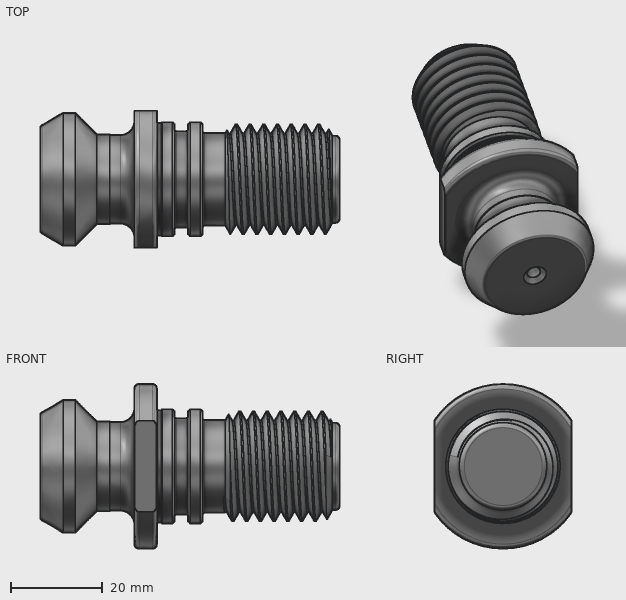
import cadquery as cq
import math


total_length = 65.5

face_radius = 11.2
face_edge_radius = 0.65
head_radius = 14.55
head_cone_angle = 30.0
head_rim_start = 5.05
head_rim_end = 7.65

neck_radius = 9.8
relief_start = 15.25
relief_radius = 9.7
neck_fillet = 3.0

flange_start = 20.55
flange_end = 25.55
flange_radius = 18.0
flange_fillet = 1.05
flats_width = 30.0
flats_chamfer = 0.1

shoulder_radius = 12.3
shoulder_fillet = 0.2
band_radius = 12.5
first_band_start = 26.45
first_band_end = 29.4
second_band_start = 32.3
second_band_end = 35.55
band_chamfer = 0.5
groove_radius = 10.55
groove_fillet = 0.3

shank_radius = 10.15
thread_radius = 12.0
thread_root_radius = 10.1
ten_turn_advance = 30.0
thread_pitch = ten_turn_advance / 10
crest_width = thread_pitch / 8
thread_start = 40.5
thread_end = 63.85
thread_half_angle = 30.0
thread_groove_start = 40.2
thread_groove_angle = 131.0
thread_runout = 0.65
thread_overcut = 0.1
tip_radius = 9.55
tip_fillet = 1.05

countersink_radius = 2.55
drill_radius = 1.5
countersink_angle = 90.0
drill_depth = 3.9
drill_point_angle = 120.0


def half_tan(full_angle):
    return math.tan(math.radians(full_angle / 2))


def arc_middle(center_x, center_r, radius, angle):
    turn = math.radians(angle)
    return (center_x + radius * math.cos(turn), center_r + radius * math.sin(turn))


def revolve_about_x(outline):
    return outline.close().revolve(360, (0, 0, 0), (1, 0, 0))


def turned_body():
    """Revolved outline in (x, radius), walked from the head face to the tip."""
    edge_run = face_edge_radius * (1 - math.sin(math.radians(head_cone_angle)))
    edge_rise = face_edge_radius * math.cos(math.radians(head_cone_angle))
    edge_middle = arc_middle(face_edge_radius, face_radius, face_edge_radius, 180 - head_cone_angle)
    head_back_run = head_radius - neck_radius
    thread_cone_run = (thread_radius - shank_radius) * math.tan(math.radians(thread_half_angle))
    tip_cone_run = (thread_radius - tip_radius) * math.tan(math.radians(thread_half_angle))
    neck_fillet_start = flange_start - neck_fillet
    neck_middle = arc_middle(neck_fillet_start, relief_radius + neck_fillet, neck_fillet, -45)
    flange_round = flange_radius - flange_fillet
    front_middle = arc_middle(flange_start + flange_fillet, flange_round, flange_fillet, 135)
    back_middle = arc_middle(flange_end - flange_fillet, flange_round, flange_fillet, 45)
    shoulder_center_r = shoulder_radius + shoulder_fillet
    groove_center_r = groove_radius + groove_fillet
    shank_center_r = shank_radius + groove_fillet
    band_edge_radius = band_radius - band_chamfer
    shoulder_rise = band_radius - shoulder_radius
    tip_center_x = total_length - tip_fillet
    tip_center_r = tip_radius - tip_fillet

    outline = (
        cq.Workplane("XY")
        .lineTo(0, face_radius)
        .threePointArc(edge_middle, (edge_run, face_radius + edge_rise))
        .lineTo(head_rim_start, head_radius)
        .lineTo(head_rim_end, head_radius)
        .lineTo(head_rim_end + head_back_run, neck_radius)
        .lineTo(relief_start, neck_radius)
        .lineTo(relief_start, relief_radius)
        .lineTo(neck_fillet_start, relief_radius)
        .threePointArc(neck_middle, (flange_start, relief_radius + neck_fillet))
        .lineTo(flange_start, flange_round)
        .threePointArc(front_middle, (flange_start + flange_fillet, flange_radius))
        .lineTo(flange_end - flange_fillet, flange_radius)
        .threePointArc(back_middle, (flange_end, flange_round))
        .lineTo(flange_end, shoulder_center_r)
        .threePointArc(
            arc_middle(flange_end + shoulder_fillet, shoulder_center_r, shoulder_fillet, 225),
            (flange_end + shoulder_fillet, shoulder_radius),
        )
        .lineTo(first_band_start, shoulder_radius)
        .lineTo(first_band_start + shoulder_rise, band_radius)
        .lineTo(first_band_end - band_chamfer, band_radius)
        .lineTo(first_band_end, band_edge_radius)
        .lineTo(first_band_end, groove_center_r)
        .threePointArc(
            arc_middle(first_band_end + groove_fillet, groove_center_r, groove_fillet, 225),
            (first_band_end + groove_fillet, groove_radius),
        )
        .lineTo(second_band_start - groove_fillet, groove_radius)
        .threePointArc(
            arc_middle(second_band_start - groove_fillet, groove_center_r, groove_fillet, -45),
            (second_band_start, groove_center_r),
        )
        .lineTo(second_band_start, band_edge_radius)
        .lineTo(second_band_start + band_chamfer, band_radius)
        .lineTo(second_band_end - band_chamfer, band_radius)
        .lineTo(second_band_end, band_edge_radius)
        .lineTo(second_band_end, shank_center_r)
        .threePointArc(
            arc_middle(second_band_end + groove_fillet, shank_center_r, groove_fillet, 225),
            (second_band_end + groove_fillet, shank_radius),
        )
        .lineTo(thread_start, shank_radius)
        .lineTo(thread_start + thread_cone_run, thread_radius)
        .lineTo(thread_end - tip_cone_run, thread_radius)
        .lineTo(thread_end, tip_radius)
        .lineTo(tip_center_x, tip_radius)
        .threePointArc(
            arc_middle(tip_center_x, tip_center_r, tip_fillet, 45),
            (total_length, tip_center_r),
        )
        .lineTo(total_length, 0)
    )
    return revolve_about_x(outline)


def flange_flats():
    """Two prisms that trim the flange to its width across flats and break the flat edges."""
    half_width = flats_width / 2
    chamfered_half_width = half_width - flats_chamfer
    prism = (
        cq.Workplane("XY")
        .moveTo(flange_start, flange_radius)
        .lineTo(flange_start, chamfered_half_width)
        .lineTo(flange_start + flats_chamfer, half_width)
        .lineTo(flange_end - flats_chamfer, half_width)
        .lineTo(flange_end, chamfered_half_width)
        .lineTo(flange_end, flange_radius)
        .close()
        .extrude(flange_radius, both=True)
    )
    return prism.union(prism.mirror("XZ"))


def centre_drill():
    """Countersunk blind hole with a pointed end."""
    countersink_depth = (countersink_radius - drill_radius) / half_tan(countersink_angle)
    point_length = drill_radius / half_tan(drill_point_angle)
    outline = (
        cq.Workplane("XY")
        .lineTo(0, countersink_radius)
        .lineTo(countersink_depth, drill_radius)
        .lineTo(drill_depth, drill_radius)
        .lineTo(drill_depth + point_length, 0)
    )
    return revolve_about_x(outline)


def thread_groove():
    """Right-hand helical V groove, built along Z and then laid along X."""
    flank_slope = math.tan(math.radians(thread_half_angle))
    crest_half = (thread_pitch - crest_width) / 2
    root_half = crest_half - (thread_radius - thread_root_radius) * flank_slope
    outer_half = crest_half + thread_overcut * flank_slope
    outer_radius = thread_radius + thread_overcut
    groove_length = thread_end + thread_runout - thread_groove_start
    helix = cq.Wire.makeHelix(thread_pitch, groove_length, thread_root_radius)
    groove = (
        cq.Workplane("XZ")
        .moveTo(thread_root_radius, -root_half)
        .lineTo(outer_radius, -outer_half)
        .lineTo(outer_radius, outer_half)
        .lineTo(thread_root_radius, root_half)
        .close()
        .sweep(cq.Workplane(helix), isFrenet=True)
    )
    return (
        groove.rotate((0, 0, 0), (0, 1, 0), 90)
        .rotate((0, 0, 0), (1, 0, 0), thread_groove_angle - 180)
        .translate((thread_groove_start, 0, 0))
    )


result = turned_body().cut(flange_flats()).cut(centre_drill()).cut(thread_groove())